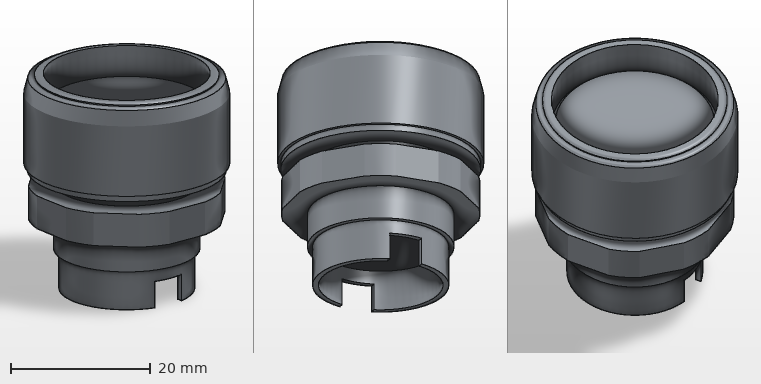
import cadquery as cq
import math

SLOT_TOP = 4.0
SKIRT_TOP = 6.0
NUT_BOTTOM = 11.02
NUT_TOP = 16.0
COLLAR_BOTTOM = 18.0
HEAD_BOTTOM = 18.95
TAPER_BOTTOM = 29.5
TAPER_TOP = 31.75
BEZEL_TOP = 32.0
RIM_EDGE = 32.25
RIM_TOP = 32.5

SKIRT_RADIUS = 9.75
BARREL_RADIUS = 10.5
COLLAR_RADIUS = 14.3
HEAD_RADIUS = 14.75
TAPER_TOP_RADIUS = 14.17
BEZEL_FLAT_RADIUS = 13.68
RIM_RADIUS = 13.23
RIM_UNDERCUT = 0.1
RIM_FLAT_RADIUS = 12.65

SKIRT_WALL = 0.85
SLOT_WIDTH = 4.9

RECESS_RADIUS = 11.93
RECESS_FLOOR = 27.5
DISC_RADIUS = 11.4
DISC_TOP = 28.0

NUT_SIDES = 8
NUT_ACROSS_FLATS = 27.62
NUT_CORNER_RADIUS = 14.2


def arc_middle(start, end):
    """Middle of an arc that leaves start horizontally, outward, and curves down to end."""
    run = end[0] - start[0]
    drop = start[1] - end[1]
    radius = (run**2 + drop**2) / (2 * drop)
    half_angle = math.asin(run / radius) / 2
    return (
        start[0] + radius * math.sin(half_angle),
        start[1] - radius * (1 - math.cos(half_angle)),
    )


def cylinder(radius, bottom, top):
    """Cylinder on the Z axis between two heights."""
    return cq.Workplane("XY").workplane(offset=bottom).circle(radius).extrude(top - bottom)


def make_outer_form():
    """Turned outside of the housing, from skirt to rim."""
    taper_end = (TAPER_TOP_RADIUS, TAPER_TOP)
    bezel_edge = (BEZEL_FLAT_RADIUS, BEZEL_TOP)
    rim_end = (RIM_RADIUS, RIM_EDGE)
    rim_edge = (RIM_FLAT_RADIUS, RIM_TOP)
    profile = (
        cq.Workplane("XZ")
        .moveTo(0, 0)
        .lineTo(SKIRT_RADIUS, 0)
        .lineTo(SKIRT_RADIUS, SKIRT_TOP)
        .lineTo(BARREL_RADIUS, SKIRT_TOP)
        .lineTo(BARREL_RADIUS, COLLAR_BOTTOM)
        .lineTo(COLLAR_RADIUS, COLLAR_BOTTOM)
        .lineTo(COLLAR_RADIUS, HEAD_BOTTOM)
        .lineTo(HEAD_RADIUS, HEAD_BOTTOM)
        .lineTo(HEAD_RADIUS, TAPER_BOTTOM)
        .lineTo(*taper_end)
        .threePointArc(arc_middle(bezel_edge, taper_end), bezel_edge)
        .lineTo(RIM_RADIUS - RIM_UNDERCUT, BEZEL_TOP)
        .lineTo(*rim_end)
        .threePointArc(arc_middle(rim_edge, rim_end), rim_edge)
        .lineTo(0, RIM_TOP)
        .close()
    )
    return profile.revolve(360, (0, 0, 0), (0, 1, 0))


def make_housing():
    """Housing with its top recess, raised disc, hollow skirt and slot."""
    recess = cylinder(RECESS_RADIUS, RECESS_FLOOR, RIM_TOP)
    disc = cylinder(DISC_RADIUS, RECESS_FLOOR, DISC_TOP)
    skirt_bore = cylinder(SKIRT_RADIUS - SKIRT_WALL, 0, SKIRT_TOP)
    slot = cq.Workplane("XY").rect(2 * SKIRT_RADIUS, SLOT_WIDTH).extrude(SLOT_TOP)
    return make_outer_form().cut(recess.cut(disc)).cut(skirt_bore).cut(slot)


def make_nut():
    """Octagonal nut around the barrel, with flats facing X and Y."""
    half_side_angle = 180 / NUT_SIDES
    across_corners = NUT_ACROSS_FLATS / math.cos(math.radians(half_side_angle))
    octagon = (
        cq.Workplane("XY")
        .workplane(offset=NUT_BOTTOM)
        .polygon(NUT_SIDES, across_corners)
        .extrude(NUT_TOP - NUT_BOTTOM)
        .rotate((0, 0, 0), (0, 0, 1), half_side_angle)
    )
    rounding = cylinder(NUT_CORNER_RADIUS, NUT_BOTTOM, NUT_TOP)
    bore = cylinder(BARREL_RADIUS, NUT_BOTTOM, NUT_TOP)
    return octagon.intersect(rounding).cut(bore)


housing = make_housing()
nut = make_nut()

result = cq.Compound.makeCompound([housing.val(), nut.val()])